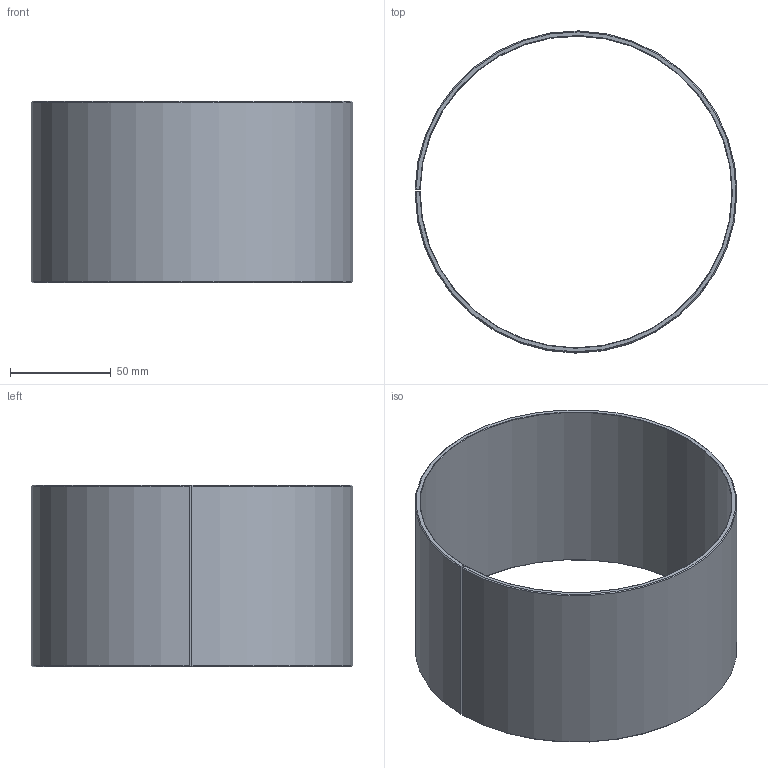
import cadquery as cq

OUTER_DIAMETER = 160.0
WALL_THICKNESS = 2.5
HEIGHT = 90.0
OUTER_CHAMFER = 0.5
INNER_CHAMFER = 0.2
SLIT_ANGLE = 1.0

outer_radius = OUTER_DIAMETER / 2
inner_radius = outer_radius - WALL_THICKNESS
sweep_angle = 360.0 - SLIT_ANGLE


def make_wall_section():
    """Wall cross-section on the -X side of the XZ plane, chamfered at both rims."""
    return (
        cq.Workplane("XZ")
        .moveTo(-outer_radius, OUTER_CHAMFER)
        .lineTo(-outer_radius, HEIGHT - OUTER_CHAMFER)
        .lineTo(-outer_radius + OUTER_CHAMFER, HEIGHT)
        .lineTo(-inner_radius - INNER_CHAMFER, HEIGHT)
        .lineTo(-inner_radius, HEIGHT - INNER_CHAMFER)
        .lineTo(-inner_radius, INNER_CHAMFER)
        .lineTo(-inner_radius - INNER_CHAMFER, 0)
        .lineTo(-outer_radius + OUTER_CHAMFER, 0)
        .close()
    )


AXIS_START = (0, 0, 0)
AXIS_END = (0, 1, 0)

result = make_wall_section().revolve(sweep_angle, AXIS_START, AXIS_END)